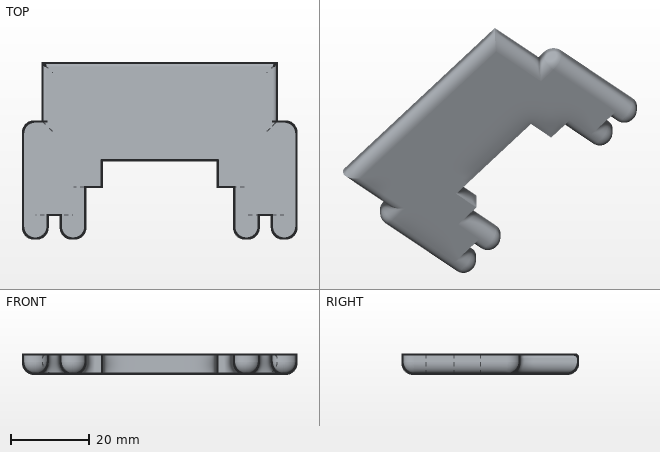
import cadquery as cq

width = 70.0
depth = 45.0
thickness = 5.0

tongue_width = 60.0
tongue_length = 15.0

opening_width = 29.6
opening_back_y = 20.0
step_width = 38.0
step_y = 13.2

finger_width = 6.35
slot_end_y = 6.0

corner_radius = 3.0
underside_radius = 3.0
tongue_top_radius = 1.0

tolerance = 0.01

half_width = width / 2
half_tongue = tongue_width / 2
half_opening = opening_width / 2
half_step = step_width / 2
shoulder_y = depth - tongue_length
slot_outer_x = half_width - finger_width
slot_inner_x = half_step + finger_width


def make_plate():
    """Flat plate with sharp edges, from the half outline with X > 0 and its mirror image."""
    half_outline = [
        (0, depth),
        (half_tongue, depth),
        (half_tongue, shoulder_y),
        (half_width, shoulder_y),
        (half_width, 0),
        (slot_outer_x, 0),
        (slot_outer_x, slot_end_y),
        (slot_inner_x, slot_end_y),
        (slot_inner_x, 0),
        (half_step, 0),
        (half_step, step_y),
        (half_opening, step_y),
        (half_opening, opening_back_y),
        (0, opening_back_y),
    ]
    return cq.Workplane("XY").polyline(half_outline).mirrorY().extrude(thickness)


def round_corners(body):
    """Round the upright edges at the fingertips and at the outer ends of the shoulders."""

    def is_rounded(edge):
        center = edge.Center()
        at_fingertip = center.y < tolerance
        at_shoulder = abs(center.x) > half_width - tolerance
        return at_fingertip or at_shoulder

    upright = body.edges("|Z").vals()
    return body.newObject([e for e in upright if is_rounded(e)]).fillet(corner_radius)


def round_underside(body):
    """Round the bottom edges, except along the slot ends and the stepped opening."""

    def is_rounded(edge):
        center = edge.Center()
        on_slot_end = abs(center.y - slot_end_y) < tolerance and edge.BoundingBox().ylen < tolerance
        in_opening = abs(center.x) < half_step - tolerance and center.y < depth - tolerance
        return not (on_slot_end or in_opening)

    bottom = body.faces("<Z").edges().vals()
    return body.newObject([e for e in bottom if is_rounded(e)]).fillet(underside_radius)


def round_tongue_top(body):
    """Round the top edges along the back and the two sides of the tongue."""

    def is_rounded(edge):
        center = edge.Center()
        on_back = center.y > depth - tolerance
        on_side = abs(abs(center.x) - half_tongue) < tolerance and center.y > shoulder_y
        return on_back or on_side

    top = body.faces(">Z").edges().vals()
    return body.newObject([e for e in top if is_rounded(e)]).fillet(tongue_top_radius)


plate = round_corners(make_plate())
plate = round_tongue_top(plate)
result = round_underside(plate)